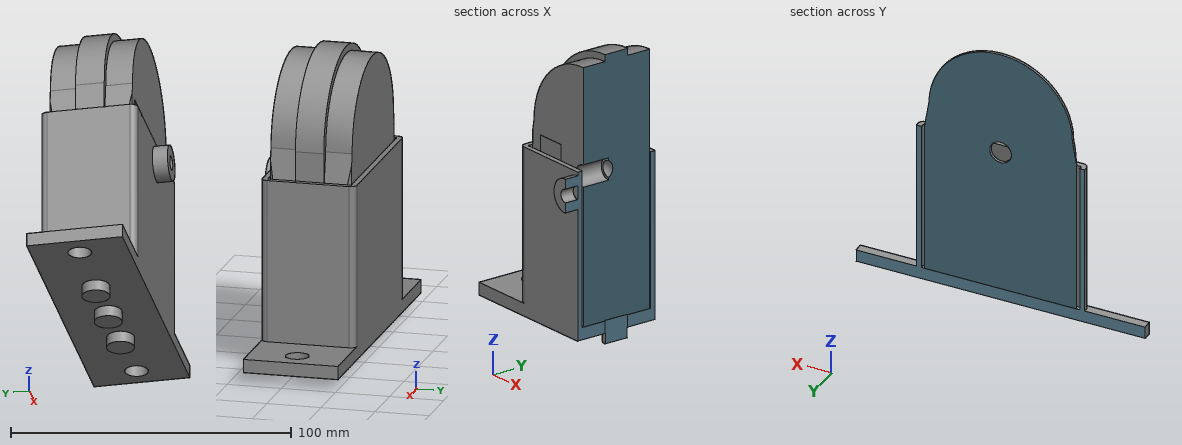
import cadquery as cq

BASE_LENGTH = 115.0
DEPTH = 35.0
BASE_THICKNESS = 5.0
MOUNT_HOLE_DIAMETER = 8.5
MOUNT_HOLE_X = 48.3
SLEEVE_WIDTH = 67.0
SLEEVE_TOP = 64.9
SLEEVE_CORNER_RADIUS = 2.3
WALL = 2.1
CAVITY_CORNER_RADIUS = 0.5

BOSS_DIAMETER = 13.1
BOSS_BORE_DIAMETER = 5.1
BOSS_LENGTH = 5.5
BOSS_Z = 56.9

INSERT_WIDTH = 62.6
INSERT_DEPTH = 30.0
INSERT_TOP = 107.0
RIB_THICKNESS = 10.5
RIB_HEIGHT = 2.6
INSERT_CHAMFER = 2.0
SHOULDER_FLARE_HEIGHT = 15.5
SOCKET_DIAMETER = 8.4
SOCKET_DEPTH = 11.5
SOCKET_Z = 62.7
DIMPLE_RADIUS = 3.2
DIMPLE_DEPTH = 1.8
WINDOW_WIDTH = 12.0
WINDOW_HEIGHT = 12.1
WINDOW_DEPTH = 0.06
WINDOW_LEFT = -24.8
WINDOW_TOP = 70.8

PIN_DIAMETER = 10.0
PIN_PROJECTION = 4.0
PIN_PITCH = 20.9
PIN_COUNT = 3

FRONT_Y = -DEPTH / 2
INSERT_FRONT_Y = -INSERT_DEPTH / 2
RIB_RADIUS = INSERT_WIDTH / 2
ARC_Z = INSERT_TOP - RIB_RADIUS
PIN_XS = [(i - (PIN_COUNT - 1) / 2) * PIN_PITCH for i in range(PIN_COUNT)]


def upright_box(width, depth, bottom, top):
    """Box centred on the Z axis between two heights."""
    return cq.Workplane("XY").workplane(offset=bottom).rect(width, depth).extrude(top - bottom)


def rod_along_y(diameter, z, y_start, length):
    """Cylinder at X = 0 that runs in +Y from y_start."""
    axis_start = cq.Vector(0, y_start, z)
    return cq.Workplane(cq.Solid.makeCylinder(diameter / 2, length, axis_start, cq.Vector(0, 1, 0)))


def make_housing():
    base = upright_box(BASE_LENGTH, DEPTH, 0, BASE_THICKNESS)
    sleeve = upright_box(SLEEVE_WIDTH, DEPTH, 0, SLEEVE_TOP).edges("|Z").fillet(SLEEVE_CORNER_RADIUS)
    boss = rod_along_y(BOSS_DIAMETER, BOSS_Z, FRONT_Y - BOSS_LENGTH, BOSS_LENGTH + WALL)
    cavity = upright_box(SLEEVE_WIDTH - 2 * WALL, DEPTH - 2 * WALL, BASE_THICKNESS, SLEEVE_TOP)
    cavity = cavity.edges("|Z").fillet(CAVITY_CORNER_RADIUS)
    bore = rod_along_y(BOSS_BORE_DIAMETER, BOSS_Z, FRONT_Y - BOSS_LENGTH, BOSS_LENGTH)
    mount_points = [(-MOUNT_HOLE_X, 0), (MOUNT_HOLE_X, 0)]
    mount_holes = (
        cq.Workplane("XY").pushPoints(mount_points).circle(MOUNT_HOLE_DIAMETER / 2).extrude(BASE_THICKNESS)
    )
    pin_points = [(x, 0) for x in PIN_XS]
    pin_holes = cq.Workplane("XY").pushPoints(pin_points).circle(PIN_DIAMETER / 2).extrude(BASE_THICKNESS)
    return base.union(sleeve).union(boss).cut(cavity).cut(bore).cut(mount_holes).cut(pin_holes)


def round_topped_slab(arc_radius, flare_height, thickness):
    """Slab with a semicircular top whose sides reach the full width flare_height below the arc."""
    half_width = INSERT_WIDTH / 2
    outline = cq.Workplane("XZ").moveTo(-half_width, BASE_THICKNESS)
    outline = outline.lineTo(-half_width, ARC_Z - flare_height).lineTo(-arc_radius, ARC_Z)
    outline = outline.threePointArc((0, ARC_Z + arc_radius), (arc_radius, ARC_Z))
    outline = outline.lineTo(half_width, ARC_Z - flare_height).lineTo(half_width, BASE_THICKNESS)
    return outline.close().extrude(thickness / 2, both=True)


def make_socket():
    """Cutter for the round socket in the front face and the spherical dimple in its floor."""
    recess = rod_along_y(SOCKET_DIAMETER, SOCKET_Z, INSERT_FRONT_Y, SOCKET_DEPTH)
    ball_radius = (DIMPLE_RADIUS**2 + DIMPLE_DEPTH**2) / (2 * DIMPLE_DEPTH)
    ball_y = INSERT_FRONT_Y + SOCKET_DEPTH + DIMPLE_DEPTH - ball_radius
    ball = cq.Workplane("XY", origin=(0, ball_y, SOCKET_Z)).sphere(ball_radius)
    return recess.union(ball)


def make_insert():
    shoulders = round_topped_slab(RIB_RADIUS - RIB_HEIGHT, SHOULDER_FLARE_HEIGHT, INSERT_DEPTH)
    rib = round_topped_slab(RIB_RADIUS, SHOULDER_FLARE_HEIGHT, RIB_THICKNESS)
    chamfered_block = (
        upright_box(INSERT_WIDTH, INSERT_DEPTH, BASE_THICKNESS, INSERT_TOP)
        .edges("|Z")
        .chamfer(INSERT_CHAMFER)
    )
    window = cq.Workplane("XY").box(WINDOW_WIDTH, WINDOW_DEPTH, WINDOW_HEIGHT, centered=False)
    window = window.translate((WINDOW_LEFT, INSERT_FRONT_Y, WINDOW_TOP - WINDOW_HEIGHT))
    return shoulders.union(rib).intersect(chamfered_block).cut(make_socket()).cut(window)


def make_pin(x):
    """Contact pin, flush with the housing floor and standing out below the base."""
    pin = cq.Workplane("XY", origin=(x, 0, -PIN_PROJECTION)).circle(PIN_DIAMETER / 2)
    return pin.extrude(PIN_PROJECTION + BASE_THICKNESS)


housing = make_housing()
insert = make_insert()
pins = [make_pin(x) for x in PIN_XS]

result = cq.Compound.makeCompound([housing.val(), insert.val(), *[pin.val() for pin in pins]])